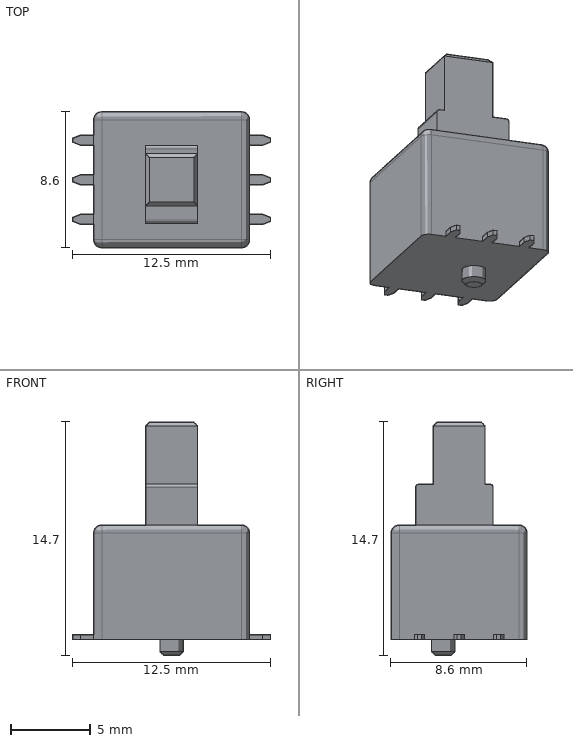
import cadquery as cq

HOUSING_LENGTH = 9.86
HOUSING_WIDTH = 8.6
HOUSING_HEIGHT = 7.24
HOUSING_FILLET = 0.52

TERMINAL_SPAN = 12.5
TERMINAL_WIDTH = 0.65
TERMINAL_THICKNESS = 0.32
TERMINAL_PITCH = 2.5
TERMINALS_PER_SIDE = 3
TERMINAL_TAPER_LENGTH = 0.5
TERMINAL_TIP_WIDTH = 0.25

PEG_DIAMETER = 1.5
PEG_LENGTH = 1.0
PEG_CHAMFER = 0.25
PEG_Y = -1.0

STEM_SIDE = 3.3
STEM_CHAMFER = 0.25
PLUNGER_HEIGHT = 6.5
SHOULDER_HEIGHT = 2.58
SHOULDER_FRONT_Y = -2.75
SHOULDER_BACK_Y = 2.15
SHOULDER_FILLET = 0.2


def make_block():
    """Housing block with rounded upright and top edges and a sharp base."""
    block = cq.Workplane("XY").box(
        HOUSING_LENGTH, HOUSING_WIDTH, HOUSING_HEIGHT, centered=(True, True, False)
    )
    return block.edges("|Z or >Z").fillet(HOUSING_FILLET)


def make_terminal_bar(y):
    """Bar through the housing whose two tapered ends form a pair of opposite terminals."""
    tip_x = TERMINAL_SPAN / 2
    shoulder_x = tip_x - TERMINAL_TAPER_LENGTH
    half_width = TERMINAL_WIDTH / 2
    half_tip = TERMINAL_TIP_WIDTH / 2
    outline = [
        (-tip_x, -half_tip),
        (-shoulder_x, -half_width),
        (shoulder_x, -half_width),
        (tip_x, -half_tip),
        (tip_x, half_tip),
        (shoulder_x, half_width),
        (-shoulder_x, half_width),
        (-tip_x, half_tip),
    ]
    bar = cq.Workplane("XY").polyline(outline).close().extrude(TERMINAL_THICKNESS)
    return bar.translate((0, y, 0))


def make_peg():
    """Round peg hanging from the base, chamfered at its lower end."""
    peg = cq.Workplane("XY").center(0, PEG_Y).circle(PEG_DIAMETER / 2).extrude(-PEG_LENGTH)
    return peg.faces("<Z").chamfer(PEG_CHAMFER)


def make_housing():
    """Block, terminals and peg as one solid."""
    body = make_block().union(make_peg())
    for index in range(TERMINALS_PER_SIDE):
        y = (index - (TERMINALS_PER_SIDE - 1) / 2) * TERMINAL_PITCH
        body = body.union(make_terminal_bar(y))
    return body


def make_plunger():
    """Chamfered square stem on a shoulder, resting on top of the housing."""
    base = cq.Workplane("XY").workplane(offset=HOUSING_HEIGHT)
    stem = base.rect(STEM_SIDE, STEM_SIDE).extrude(PLUNGER_HEIGHT)
    stem = stem.faces(">Z").chamfer(STEM_CHAMFER)

    shoulder_length = SHOULDER_BACK_Y - SHOULDER_FRONT_Y
    shoulder_center_y = (SHOULDER_BACK_Y + SHOULDER_FRONT_Y) / 2
    shoulder = base.center(0, shoulder_center_y).rect(STEM_SIDE, shoulder_length).extrude(SHOULDER_HEIGHT)
    shoulder = shoulder.faces(">Z").edges("|X").fillet(SHOULDER_FILLET)
    return stem.union(shoulder, clean=True)


housing = make_housing()
plunger = make_plunger()

result = cq.Compound.makeCompound([housing.val(), plunger.val()])